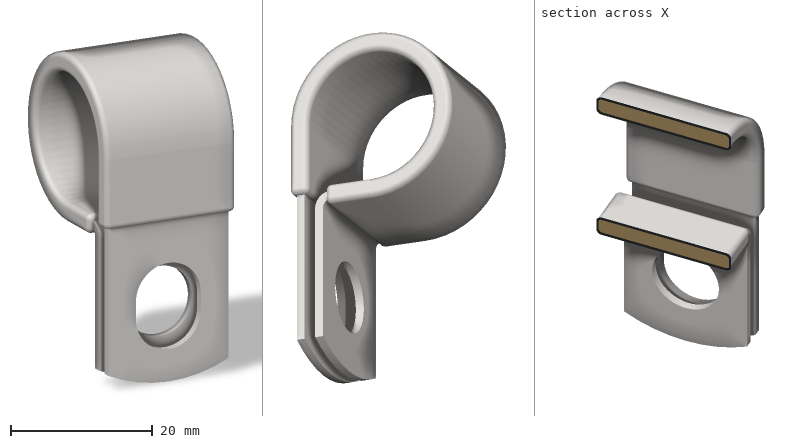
import cadquery as cq
import math


bore_diameter = 19.05
cushion_wall = 0.794
strap_thickness = 1.219
strap_width = 19.05
loop_leg_straight = 9.525
loop_foot_straight = 6.08
leg_gap = 1.588
bend_inner_radius = 1.1
hole_diameter = 10.319
slot_length = 12.73
hole_to_tip = 11.113
tip_radius = 22.225
overall_height = 46.44

bore_radius = bore_diameter / 2
strap_inner_radius = bore_radius + cushion_wall
strap_outer_radius = strap_inner_radius + strap_thickness
cushion_outer_radius = strap_outer_radius + cushion_wall
wall_middle_radius = (bore_radius + cushion_outer_radius) / 2
cushion_width = strap_width + 2 * cushion_wall
edge_radius = cushion_wall
leg_end_z = -(loop_leg_straight + edge_radius)
foot_end_x = loop_foot_straight + edge_radius
near_leg_right = strap_inner_radius - leg_gap
near_leg_left = near_leg_right - strap_thickness
gap_middle_x = strap_inner_radius - leg_gap / 2
bend_outer_radius = bend_inner_radius + strap_thickness
bend_center_x = near_leg_left - bend_inner_radius
bend_center_z = -strap_outer_radius - bend_inner_radius
tip_z = cushion_outer_radius - overall_height
hole_z = tip_z + hole_to_tip


def arc_point(center_x, center_z, radius, angle):
    """Point on a circle in the XZ plane, at an angle in degrees from +X toward +Z."""
    turn = math.radians(angle)
    return (center_x + radius * math.cos(turn), center_z + radius * math.sin(turn))


def extrude_about_middle(profile, width):
    """Extrude an XZ profile by the width, half to each side of the XZ plane."""
    return profile.extrude(width / 2, both=True)


def make_cushion():
    """Three-quarter loop with a level foot and an upright leg, all outer edges rounded."""
    profile = (
        cq.Workplane("XZ")
        .moveTo(foot_end_x, -cushion_outer_radius)
        .lineTo(0, -cushion_outer_radius)
        .threePointArc(arc_point(0, 0, cushion_outer_radius, 135), (cushion_outer_radius, 0))
        .lineTo(cushion_outer_radius, leg_end_z)
        .lineTo(bore_radius, leg_end_z)
        .lineTo(bore_radius, 0)
        .threePointArc(arc_point(0, 0, bore_radius, 135), (0, -bore_radius))
        .lineTo(foot_end_x, -bore_radius)
        .close()
    )
    body = extrude_about_middle(profile, cushion_width)
    side_edges = body.faces("<Y or >Y").edges()
    foot_end = cq.selectors.NearestToPointSelector((foot_end_x, 0, -wall_middle_radius))
    leg_end = cq.selectors.NearestToPointSelector((wall_middle_radius, 0, leg_end_z))
    end_edges = body.faces(foot_end).add(body.faces(leg_end)).edges("|Y")
    return side_edges.add(end_edges).fillet(edge_radius)


def make_near_leg():
    """Strap leaving the foot of the cushion and bending down into a leg."""
    profile = (
        cq.Workplane("XZ")
        .moveTo(0, -strap_inner_radius)
        .lineTo(bend_center_x, -strap_inner_radius)
        .threePointArc(
            arc_point(bend_center_x, bend_center_z, bend_outer_radius, 45),
            (near_leg_right, bend_center_z),
        )
        .lineTo(near_leg_right, tip_z)
        .lineTo(near_leg_left, tip_z)
        .lineTo(near_leg_left, bend_center_z)
        .threePointArc(
            arc_point(bend_center_x, bend_center_z, bend_inner_radius, 45),
            (bend_center_x, -strap_outer_radius),
        )
        .lineTo(0, -strap_outer_radius)
        .close()
    )
    return extrude_about_middle(profile, strap_width)


def make_far_leg():
    """Straight strap leaving the upright leg of the cushion."""
    profile = (
        cq.Workplane("XZ")
        .moveTo(strap_inner_radius, 0)
        .lineTo(strap_outer_radius, 0)
        .lineTo(strap_outer_radius, tip_z)
        .lineTo(strap_inner_radius, tip_z)
        .close()
    )
    return extrude_about_middle(profile, strap_width)


def make_tip_outline():
    """Block across both legs whose lower end carries their shared arched tip."""
    half_width = strap_width / 2
    tip_corner_z = tip_z + tip_radius - math.sqrt(tip_radius**2 - half_width**2)
    return (
        cq.Workplane("YZ")
        .moveTo(-half_width, 0)
        .lineTo(-half_width, tip_corner_z)
        .threePointArc((0, tip_z), (half_width, tip_corner_z))
        .lineTo(half_width, 0)
        .close()
        .extrude(cushion_outer_radius)
    )


def make_bolt_hole():
    """Round cutter for the near leg, stopping midway across the gap."""
    return cq.Workplane("YZ").center(0, hole_z).circle(hole_diameter / 2).extrude(gap_middle_x)


def make_bolt_slot():
    """Upright slot cutter for the far leg, centred on the bolt hole."""
    return (
        cq.Workplane("YZ", origin=(gap_middle_x, 0, 0))
        .center(0, hole_z)
        .slot2D(slot_length, hole_diameter, 90)
        .extrude(cushion_outer_radius - gap_middle_x)
    )


near_leg = make_near_leg().intersect(make_tip_outline()).cut(make_bolt_hole())
far_leg = make_far_leg().intersect(make_tip_outline()).cut(make_bolt_slot())
result = make_cushion().union(near_leg).union(far_leg)